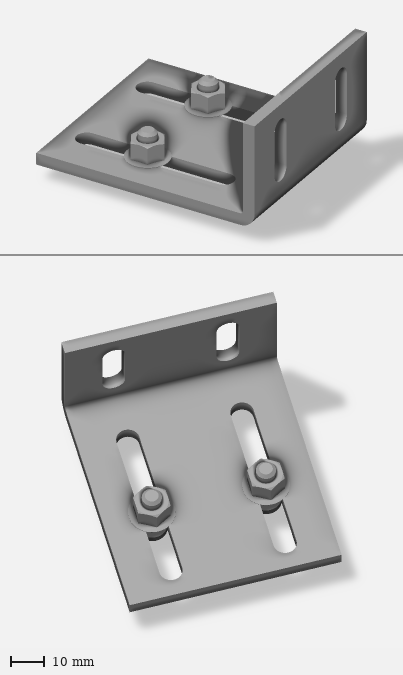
import cadquery as cq
import math

length = 75.0
width = 65.0
height = 35.0
thickness = 4.0
inner_bend_radius = 1.0
outer_bend_radius = inner_bend_radius + thickness

slot_width = 7.0
slot_spacing = 35.0
base_slot_length = 54.0
base_slot_margin = 5.0
wall_slot_length = 21.0
wall_slot_margin = 5.0

bolt_x = 29.4
shank_diameter = 6.0
bolt_length = 18.0
tip_chamfer = 1.0
head_diameter = 9.4
head_height = 2.0
head_bottom = -4.8

nut_flats = 10.0
nut_top = 10.3
nut_chamfer_angle = 30.0
flange_diameter = 14.2
flange_rim = 0.15
flange_rise = 0.5
countersink_diameter = 7.0

slot_rows = (-slot_spacing / 2, slot_spacing / 2)


def make_bracket():
    """Bent plate with concentric inner and outer bend radii."""
    profile = (
        cq.Workplane("XZ", origin=(0, width / 2, 0))
        .lineTo(length - outer_bend_radius, 0)
        .radiusArc((length, outer_bend_radius), -outer_bend_radius)
        .lineTo(length, height)
        .lineTo(length - thickness, height)
        .lineTo(length - thickness, outer_bend_radius)
        .radiusArc((length - outer_bend_radius, thickness), inner_bend_radius)
        .lineTo(0, thickness)
        .close()
    )
    return profile.extrude(width)


def make_base_slots():
    centre_x = base_slot_margin + base_slot_length / 2
    return (
        cq.Workplane("XY")
        .pushPoints([(centre_x, y) for y in slot_rows])
        .slot2D(base_slot_length, slot_width)
        .extrude(thickness)
    )


def make_wall_slots():
    centre_z = height - wall_slot_margin - wall_slot_length / 2
    return (
        cq.Workplane("YZ", origin=(length - thickness, 0, 0))
        .pushPoints([(y, centre_z) for y in slot_rows])
        .slot2D(wall_slot_length, slot_width, 90)
        .extrude(thickness)
    )


def make_bolt():
    """Round-headed bolt on the Z axis, head below the base plate."""
    head = cq.Workplane("XY", origin=(0, 0, head_bottom)).circle(head_diameter / 2).extrude(head_height)
    shank = (
        cq.Workplane("XY", origin=(0, 0, head_bottom))
        .circle(shank_diameter / 2)
        .extrude(bolt_length)
        .faces(">Z")
        .chamfer(tip_chamfer)
    )
    return head.union(shank)


def make_nut():
    """Hexagon nut on a shallow conical flange, seated on the base plate."""
    flats_radius = nut_flats / 2
    corner_radius = flats_radius / math.cos(math.pi / 6)
    corner_drop = (corner_radius - flats_radius) * math.tan(math.radians(nut_chamfer_angle))
    hexagon = (
        cq.Workplane("XY", origin=(0, 0, thickness))
        .polygon(6, 2 * corner_radius)
        .extrude(nut_top - thickness)
    )
    envelope = (
        cq.Workplane("XZ")
        .moveTo(0, thickness)
        .lineTo(corner_radius, thickness)
        .lineTo(corner_radius, nut_top - corner_drop)
        .lineTo(flats_radius, nut_top)
        .lineTo(0, nut_top)
        .close()
        .revolve()
    )
    flange = (
        cq.Workplane("XZ")
        .moveTo(0, thickness)
        .lineTo(flange_diameter / 2, thickness)
        .lineTo(flange_diameter / 2, thickness + flange_rim)
        .lineTo(flats_radius, thickness + flange_rise)
        .lineTo(0, thickness + flange_rise)
        .close()
        .revolve()
    )
    countersink_depth = (countersink_diameter - shank_diameter) / 2
    countersink = (
        cq.Workplane("XZ")
        .moveTo(0, nut_top)
        .lineTo(countersink_diameter / 2, nut_top)
        .lineTo(shank_diameter / 2, nut_top - countersink_depth)
        .lineTo(0, nut_top - countersink_depth)
        .close()
        .revolve()
    )
    return hexagon.intersect(envelope).union(flange).cut(countersink)


result = make_bracket().cut(make_base_slots()).cut(make_wall_slots())
fastener = make_nut().union(make_bolt())
for row_y in slot_rows:
    result = result.union(fastener.translate((bolt_x, row_y, 0)))